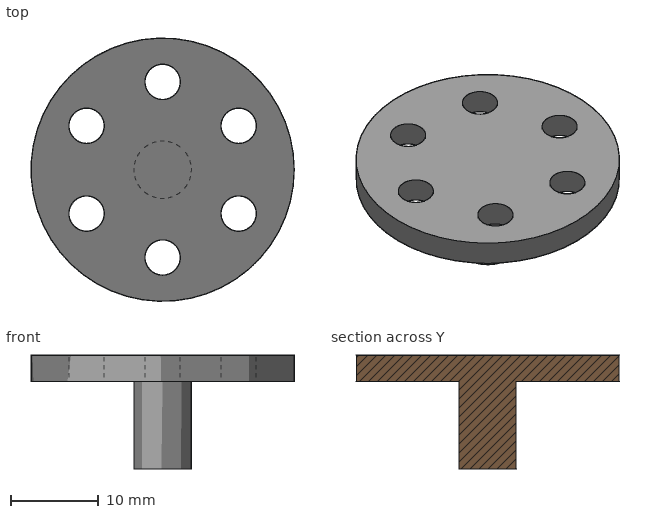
import cadquery as cq

disc_diameter = 30
disc_thickness = 3

stem_diameter = 6.55
stem_length = 10.0

hole_count = 6
hole_diameter = 4.0
hole_circle_radius = disc_diameter / 3
first_hole_angle = 90

disc = cq.Workplane("XY").circle(disc_diameter / 2).extrude(disc_thickness)
stem = cq.Workplane("XY").circle(stem_diameter / 2).extrude(-stem_length)

holes = (
    cq.Workplane("XY")
    .polarArray(hole_circle_radius, first_hole_angle, 360, hole_count)
    .circle(hole_diameter / 2)
    .extrude(disc_thickness)
)

result = disc.union(stem).cut(holes)